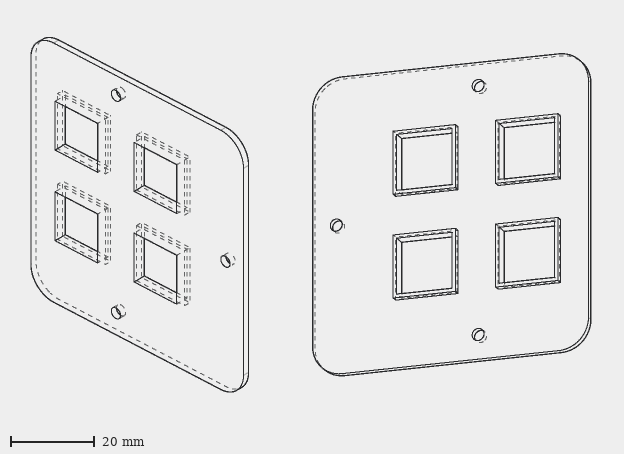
import cadquery as cq

plate_width = 70.0
plate_height = 74.4
plate_thickness = 1.8
corner_radius = 7.5

opening_size = 14.0
opening_pitch = 26.0
frame_wall = 0.9
frame_depth = 1.8
openings_center_x = -7.0
openings_center_z = 0.7

screw_hole_diameter = 3.0
edge_hole_x = -7.0
edge_hole_spacing = 62.4
side_hole_x = 29.0
screw_holes_center_z = 0.2

frame_size = opening_size + 2 * frame_wall
total_depth = plate_thickness + frame_depth
half_pitch = opening_pitch / 2
opening_centers = [
    (openings_center_x + column * half_pitch, openings_center_z + row * half_pitch)
    for column in (-1, 1)
    for row in (-1, 1)
]
screw_hole_centers = [
    (edge_hole_x, screw_holes_center_z - edge_hole_spacing / 2),
    (edge_hole_x, screw_holes_center_z + edge_hole_spacing / 2),
    (side_hole_x, screw_holes_center_z),
]


def plane_at(y):
    """Plane parallel to XZ at depth y, with its normal toward -Y."""
    return cq.Workplane("XZ", origin=(0, y, 0))


def make_plate():
    """Flat plate with rounded corners and its front face at y = 0."""
    plate = plane_at(0).rect(plate_width, plate_height).extrude(-plate_thickness)
    return plate.edges("|Y").fillet(corner_radius)


def make_frames():
    """Square frames standing on the back face around the openings."""
    frame_sketch = plane_at(plate_thickness).pushPoints(opening_centers).rect(frame_size, frame_size)
    return frame_sketch.extrude(-frame_depth)


def make_opening_cutters():
    """Square openings through the plate and frames."""
    opening_sketch = plane_at(0).pushPoints(opening_centers).rect(opening_size, opening_size)
    return opening_sketch.extrude(-total_depth)


def make_screw_hole_cutters():
    """Round screw holes through the plate."""
    hole_sketch = plane_at(0).pushPoints(screw_hole_centers).circle(screw_hole_diameter / 2)
    return hole_sketch.extrude(-plate_thickness)


body = make_plate().union(make_frames())
result = body.cut(make_opening_cutters()).cut(make_screw_hole_cutters())